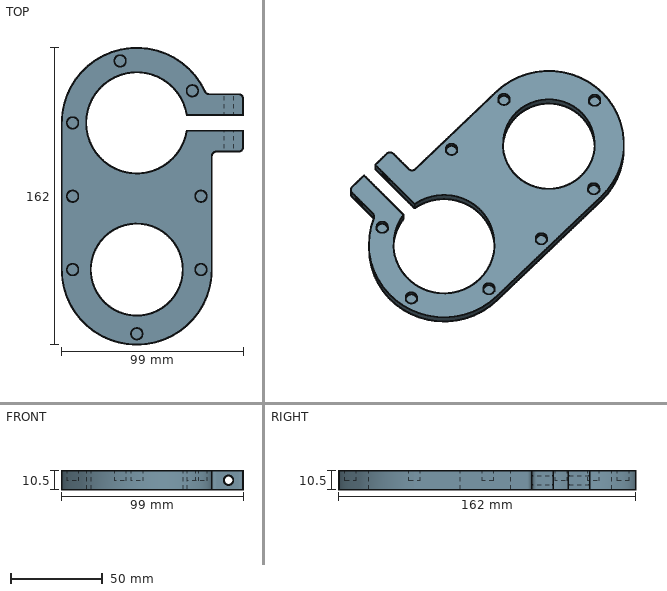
import cadquery as cq
import math

length = 162.0
thickness = 10.5
end_radius = 41.0
clamp_bore_diameter = 55.0
plain_bore_diameter = 50.0

ear_reach = 58.0
ear_half_height = 15.7
slot_width = 8.5
ear_fillet = 2.5
clamp_screw_diameter = 5.0
clamp_screw_x = 50.0

pocket_diameter = 6.3
pocket_depth = 5.2
pocket_circle_radius = 35.0
clamp_pocket_angles = (30, 105, 180)
plain_pocket_angles = (0, 180, 270)

center_y = length / 2 - end_radius
clamp_center = (0, center_y)
plain_center = (0, -center_y)


def make_body():
    """Rounded plate with a block for the clamp ears, its corners filleted."""
    plate = (
        cq.Workplane("XY")
        .slot2D(length, 2 * end_radius, 90)
        .extrude(thickness)
    )
    ears = (
        cq.Workplane("XY")
        .center(ear_reach / 2, center_y)
        .rect(ear_reach, 2 * ear_half_height)
        .extrude(thickness)
    )
    upper_root_x = math.sqrt(end_radius**2 - ear_half_height**2)
    corners = (
        (ear_reach, center_y + ear_half_height),
        (ear_reach, center_y - ear_half_height),
        (upper_root_x, center_y + ear_half_height),
        (end_radius, center_y - ear_half_height),
    )
    body = plate.union(ears)
    for x, y in corners:
        edge = cq.selectors.NearestToPointSelector((x, y, thickness / 2))
        body = body.edges("|Z").edges(edge).fillet(ear_fillet)
    return body


def make_bore(center, diameter):
    return cq.Workplane("XY").center(*center).circle(diameter / 2).extrude(thickness)


def make_clamp_slot():
    """Gap from the clamp bore out through the ears."""
    return (
        cq.Workplane("XY")
        .center(ear_reach / 2, center_y)
        .rect(ear_reach, slot_width)
        .extrude(thickness)
    )


def make_clamp_screw_hole():
    """Hole along Y through both ears."""
    return (
        cq.Workplane("XZ", origin=(clamp_screw_x, center_y, thickness / 2))
        .circle(clamp_screw_diameter / 2)
        .extrude(ear_half_height, both=True)
    )


def points_around(center, angles):
    points = []
    for angle in angles:
        x = center[0] + pocket_circle_radius * math.cos(math.radians(angle))
        y = center[1] + pocket_circle_radius * math.sin(math.radians(angle))
        points.append((x, y))
    return points


def make_pockets():
    """Pockets around both bores and one on each side midway between them."""
    points = points_around(clamp_center, clamp_pocket_angles)
    points += points_around(plain_center, plain_pocket_angles)
    points += points_around((0, 0), (0, 180))
    return (
        cq.Workplane("XY", origin=(0, 0, thickness))
        .pushPoints(points)
        .circle(pocket_diameter / 2)
        .extrude(-pocket_depth)
    )


result = (
    make_body()
    .cut(make_bore(clamp_center, clamp_bore_diameter))
    .cut(make_bore(plain_center, plain_bore_diameter))
    .cut(make_clamp_slot())
    .cut(make_clamp_screw_hole())
    .cut(make_pockets())
)